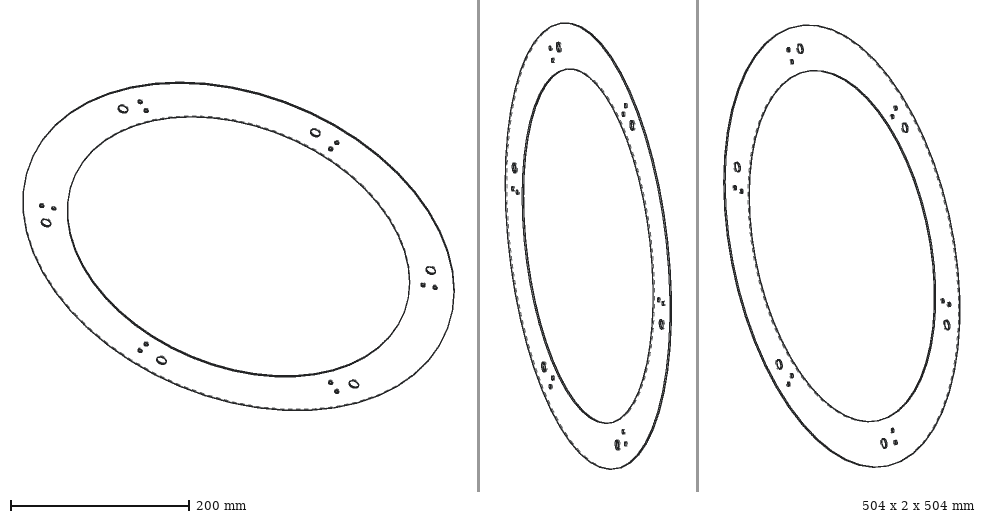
import cadquery as cq

outer_diameter = 504.0
inner_diameter = 400.0
thickness = 2.0

group_count = 6

small_hole_diameter = 4.9
small_hole_radii = (215.5, 230.0)

large_hole_diameter = 11.0
large_hole_radius = 226.5
large_hole_angle = 6.6


def hole_circle(radius, diameter, start_angle):
    """Through-hole cutters spaced evenly on a circle about the ring axis."""
    return (
        cq.Workplane("XZ")
        .polarArray(radius, start_angle, 360, group_count)
        .circle(diameter / 2)
        .extrude(thickness, both=True)
    )


ring = (
    cq.Workplane("XZ")
    .circle(outer_diameter / 2)
    .circle(inner_diameter / 2)
    .extrude(thickness / 2, both=True)
)

for small_hole_radius in small_hole_radii:
    ring = ring.cut(hole_circle(small_hole_radius, small_hole_diameter, 0))

result = ring.cut(hole_circle(large_hole_radius, large_hole_diameter, large_hole_angle))